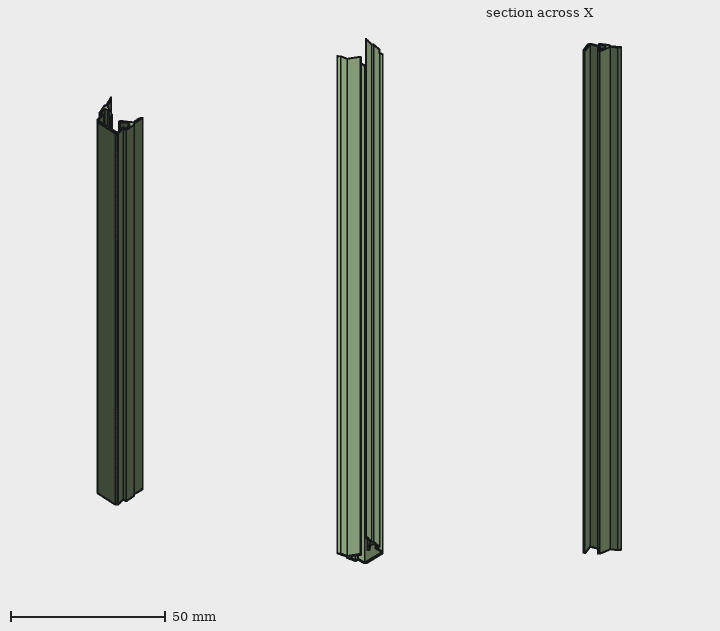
import cadquery as cq

length = 200.0
width = 13.5
depth = 10.5
half_width = width / 2
front_y = -depth / 2
back_y = depth / 2

wall = 0.5
floor_thickness = 0.7
base_half_width = 4.5
corner_bevel_width = 0.7
corner_bevel_height = 0.5
inner_half_width = base_half_width - wall
floor_y = front_y + floor_thickness

shoulder_y = -2.0
shoulder_half_width = 5.5

ledge_low_y = 1.5
ledge_high_y = 1.8
ledge_half_width = 6.2
neck_half_width = 5.8
flare_y = 4.5
flare_inner_half_width = 5.8
lip_thickness = 0.2

arm_root_x = 5.5
arm_top_root_y = 2.0
arm_tip_x = 1.5
arm_tip_y = -0.8
arm_tip_height = 0.5
arm_bend_x = 2.2
arm_bottom_root_x = 4.2
arm_bottom_root_y = 0.7
arm_foot_y = 0.5

root_inner_x = shoulder_half_width - wall

half_section = [
    (0, front_y),
    (base_half_width - corner_bevel_width, front_y),
    (base_half_width, front_y + corner_bevel_height),
    (base_half_width, shoulder_y),
    (shoulder_half_width, shoulder_y),
    (ledge_half_width, ledge_low_y),
    (neck_half_width, ledge_high_y),
    (half_width, back_y),
    (half_width - lip_thickness, back_y),
    (flare_inner_half_width, flare_y),
    (arm_root_x, arm_top_root_y),
    (arm_tip_x, arm_tip_y + arm_tip_height),
    (arm_tip_x, arm_tip_y),
    (arm_bend_x, arm_tip_y),
    (arm_bottom_root_x, arm_bottom_root_y),
    (root_inner_x, arm_foot_y),
    (root_inner_x, shoulder_y + wall),
    (inner_half_width, shoulder_y + wall),
    (inner_half_width, floor_y),
    (0, floor_y),
]

right_half = (
    cq.Workplane("XY")
    .workplane(offset=-length / 2)
    .polyline(half_section)
    .close()
    .extrude(length)
)
left_half = right_half.mirror("YZ")

result = right_half.union(left_half).clean()